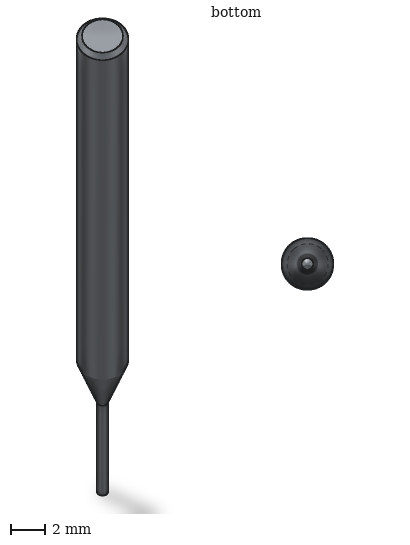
import cadquery as cq

total_length = 45.0
shank_diameter = 3.0
cutter_diameter = 0.68

tip_height = 0.15
cutter_length = 9.0
taper_length = 4.2

end_chamfer = 0.3

shank_radius = shank_diameter / 2
cutter_radius = cutter_diameter / 2
taper_top = cutter_length + taper_length


def revolve_profile(points):
    """Turn a closed outline of (radius, height) points about the Z axis."""
    return cq.Workplane("XZ").polyline(points).close().revolve(360, (0, 0), (0, 1))


def make_shank():
    """Cylindrical shank with a chamfered top, tapering down to the cutter."""
    return revolve_profile([
        (0, cutter_length),
        (cutter_radius, cutter_length),
        (shank_radius, taper_top),
        (shank_radius, total_length - end_chamfer),
        (shank_radius - end_chamfer, total_length),
        (0, total_length),
    ])


def make_cutter():
    """Thin cutter with a conical tip, butted against the end of the taper."""
    return revolve_profile([
        (0, 0),
        (cutter_radius, tip_height),
        (cutter_radius, cutter_length),
        (0, cutter_length),
    ])


shank = make_shank()
cutter = make_cutter()

result = cq.Compound.makeCompound([shank.val(), cutter.val()])